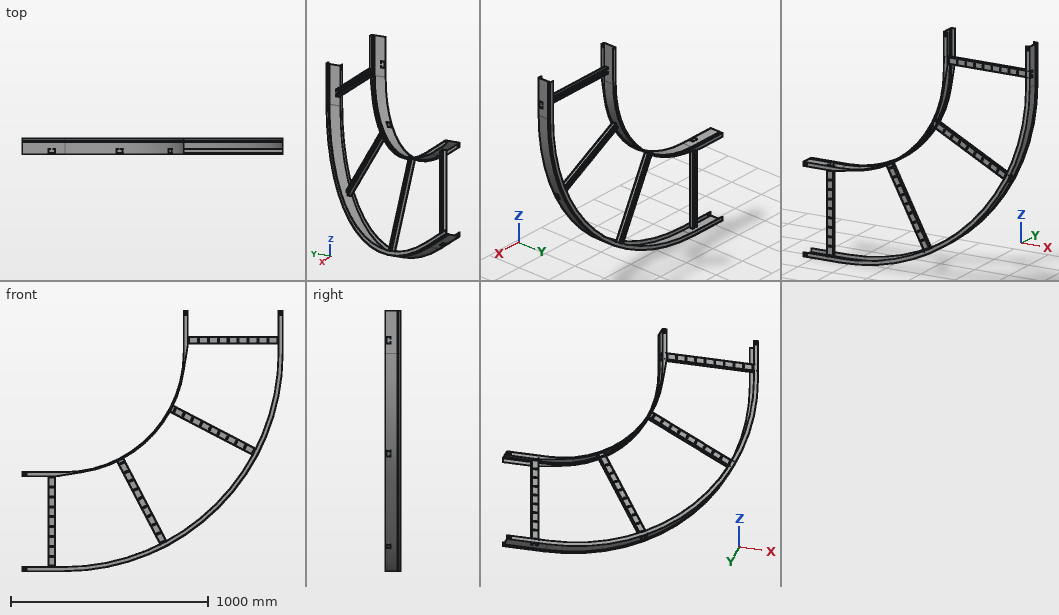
import cadquery as cq
import math

leg_length = 215.0
outer_web_radius = 1103.0
web_spacing = 502.0
inner_web_radius = outer_web_radius - web_spacing
middle_radius = (outer_web_radius + inner_web_radius) / 2

rail_height = 80.0
sheet = 1.6
flange_width = 22.0
bead_start = 62.0
bead_width = 8.0
bead_end = bead_start + bead_width
bead_depth = 3.0
bead_run = 3.0

narrow_flange_width = 8.0
taper_start = 41.0
taper_angle = 8.0

splice_slot_length = 17.0
splice_slot_width = 7.0
splice_slot_margin = 5.0
splice_slot_offset = 10.0

rung_width = 35.0
rung_depth = 21.0
rung_front = 7.0
rung_sheet = 2.0
lip_width = 10.0
end_rung_height = 65.0
middle_rung_angle = 27.5
rung_slot_count = 10
rung_slot_pitch = 50.0
rung_slot_length = 15.0
rung_slot_width = 5.0

rung_spare = 13.0

notch_start = 10.0
notch_width = 4.0
notch_length = sheet + rung_spare


def on_bend(radius, angle):
    """Plan point (X, Z) on the bend, at an angle in degrees below the +X direction."""
    turn = math.radians(angle)
    return radius * math.cos(turn), -radius * math.sin(turn)


def swap_legs(body):
    """Mirror a body so that its first-leg side lands on the second leg."""
    return body.mirror((1, 0, 1))


def channel_section(web_x, inward):
    """Face of the rail section; inward is the X direction of the flanges, +1 or -1."""
    outer_side = [
        (flange_width, 0),
        (0, 0),
        (0, bead_start),
        (bead_depth, bead_start + bead_run),
        (bead_depth, bead_end - bead_run),
        (0, bead_end),
        (0, rail_height),
        (flange_width, rail_height),
    ]
    inner_side = [
        (flange_width, rail_height - sheet),
        (sheet, rail_height - sheet),
        (sheet, bead_end),
        (bead_depth + sheet, bead_end - bead_run),
        (bead_depth + sheet, bead_start + bead_run),
        (sheet, bead_start),
        (sheet, sheet),
        (flange_width, sheet),
    ]
    corners = [cq.Vector(web_x + inward * x, y) for x, y in outer_side + inner_side]
    return cq.Face.makeFromWires(cq.Wire.makePolygon(corners, close=True))


def splice_slot(web_x, inward):
    """Cutter for the slot in the -Y flange near the end of the first leg."""
    slot = cq.Workplane("XY").box(
        splice_slot_width, sheet, splice_slot_length, centered=(True, False, False)
    )
    slot_bottom = leg_length - splice_slot_margin - splice_slot_length
    return slot.translate((web_x + inward * splice_slot_offset, 0, slot_bottom))


def rail(web_radius, inward):
    section = channel_section(web_radius, inward)
    leg = cq.Workplane(cq.Solid.extrudeLinear(section, cq.Vector(0, 0, leg_length)))
    bend = cq.Workplane(cq.Solid.revolve(section, 90, cq.Vector(0, 0, 0), cq.Vector(0, 1, 0)))
    leg = leg.cut(splice_slot(web_radius, inward))
    return bend.union(leg).union(swap_legs(leg))


def flange_trim():
    """Cutter for everything beyond the narrowed flange edge of the inner rail."""
    full_radius = inner_web_radius + flange_width
    narrow_radius = inner_web_radius + narrow_flange_width
    return (
        cq.Workplane("XZ")
        .moveTo(full_radius, taper_start)
        .lineTo(*on_bend(narrow_radius, taper_angle))
        .threePointArc(on_bend(narrow_radius, 45), on_bend(narrow_radius, 90 - taper_angle))
        .lineTo(-taper_start, -full_radius)
        .lineTo(full_radius, -full_radius)
        .close()
        .extrude(-rail_height)
    )


def space_between_webs():
    """Everything between the outside faces of the two webs."""
    return (
        cq.Workplane("XZ")
        .moveTo(inner_web_radius, leg_length)
        .lineTo(inner_web_radius, 0)
        .threePointArc(on_bend(inner_web_radius, 45), on_bend(inner_web_radius, 90))
        .lineTo(-leg_length, -inner_web_radius)
        .lineTo(-leg_length, -outer_web_radius)
        .lineTo(0, -outer_web_radius)
        .threePointArc(on_bend(outer_web_radius, 45), on_bend(outer_web_radius, 0))
        .lineTo(outer_web_radius, leg_length)
        .close()
        .extrude(-rail_height)
    )


def rung_bar(depth, width, front):
    """Plain bar along X, centred on Z = 0, with spare length beyond both webs."""
    length = web_spacing + 2 * rung_spare
    bar = cq.Workplane("XY").box(length, depth, width, centered=(True, False, True))
    return bar.translate((middle_radius, front, 0))


def rung_notch(start_x):
    """Cutter through both flanges of a rung, starting at the given X."""
    notch = cq.Workplane("XY").box(
        notch_length, notch_width, rung_width, centered=(False, False, True)
    )
    return notch.translate((start_x, notch_start, 0))


def rung_slots():
    """Cutter for the row of slots across the front web of a rung."""
    return (
        cq.Workplane("XZ", origin=(middle_radius, rung_front, 0))
        .rarray(rung_slot_pitch, 13, rung_slot_count, 1)
        .rect(rung_slot_width, rung_slot_length)
        .extrude(-rung_sheet)
    )


def rung_blank():
    """Lipped channel along X, before it is placed and trimmed to the webs."""
    inside_front = rung_front + rung_sheet
    body = rung_bar(rung_depth, rung_width, rung_front)
    body = body.cut(rung_bar(rung_depth - 2 * rung_sheet, rung_width - 2 * rung_sheet, inside_front))
    body = body.cut(rung_bar(rung_depth, rung_width - 2 * lip_width, inside_front))
    body = body.cut(rung_notch(inner_web_radius - rung_spare))
    body = body.cut(rung_notch(outer_web_radius - sheet))
    return body.cut(rung_slots())


end_rung = rung_blank().translate((0, 0, end_rung_height))
middle_rung = rung_blank().rotate((0, 0, 0), (0, 1, 0), middle_rung_angle)
rungs = []
for blank in (end_rung, middle_rung, swap_legs(middle_rung), swap_legs(end_rung)):
    rungs.append(blank.intersect(space_between_webs()))

inner_rail = rail(inner_web_radius, 1).cut(flange_trim())
outer_rail = rail(outer_web_radius, -1)
for rung in rungs:
    inner_rail = inner_rail.cut(rung)
    outer_rail = outer_rail.cut(rung)

result = cq.Compound.makeCompound(
    [inner_rail.val(), outer_rail.val(), *[rung.val() for rung in rungs]]
)